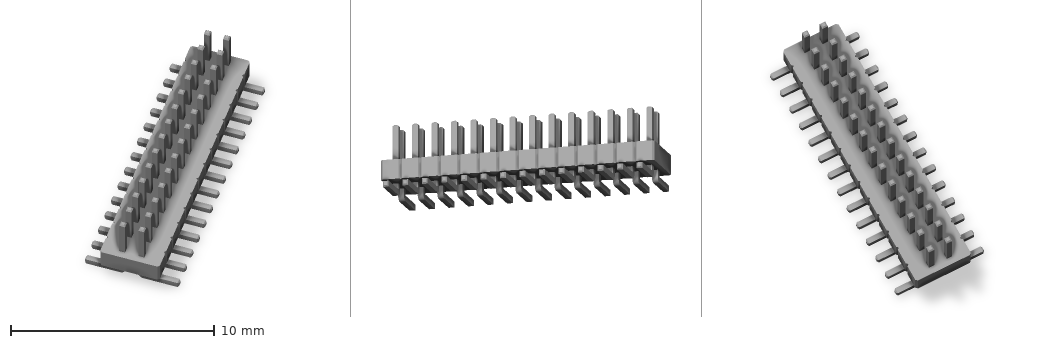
import cadquery as cq

body_length = 14.0
overall_width = 4.9
overall_height = 3.6
pin_rows = 14
pin_to_pitch = 0.3
body_width = 3.1
body_corner_chamfer = 0.1
pin_tip_taper = 0.07
bend_radius = 0.25

pitch = body_length / pin_rows
pin_size = pin_to_pitch * pitch
body_height = pitch
body_bottom = 2 * pin_size
row_positions = [(row - (pin_rows - 1) / 2) * pitch for row in range(pin_rows)]


def make_body_segment(row_y):
    """One segment of the housing; its chamfered edges form V grooves against its neighbours."""
    return (
        cq.Workplane("XY")
        .box(body_width, pitch, body_height, centered=(True, True, False))
        .edges("|Z")
        .chamfer(body_corner_chamfer)
        .translate((0, row_y, body_bottom))
    )


def make_pin(row_y):
    """An L-shaped pin on the +X side: upright post, rounded heel and foot pointing to +X."""
    inner_x = (pitch - pin_size) / 2
    outer_x = inner_x + pin_size
    foot_end_x = overall_width / 2
    pin = (
        cq.Workplane("XZ")
        .moveTo(inner_x, overall_height)
        .lineTo(outer_x, overall_height)
        .lineTo(outer_x, pin_size)
        .lineTo(foot_end_x, pin_size)
        .lineTo(foot_end_x, 0)
        .lineTo(inner_x, 0)
        .close()
        .extrude(pin_size / 2, both=True)
    )
    pin = pin.faces(">Z").chamfer(pin_tip_taper)
    pin = pin.faces(">X").chamfer(pin_tip_taper)
    heel_edge = cq.selectors.NearestToPointSelector((inner_x, 0, 0))
    return pin.edges(heel_edge).fillet(bend_radius).translate((0, row_y, 0))


segments = [make_body_segment(row_y).val() for row_y in row_positions]
right_pins = [make_pin(row_y).val() for row_y in row_positions]
left_pins = [pin.mirror("YZ") for pin in right_pins]

body = segments[0].fuse(*segments[1:]).clean()
result = cq.Workplane(body.fuse(*right_pins, *left_pins))